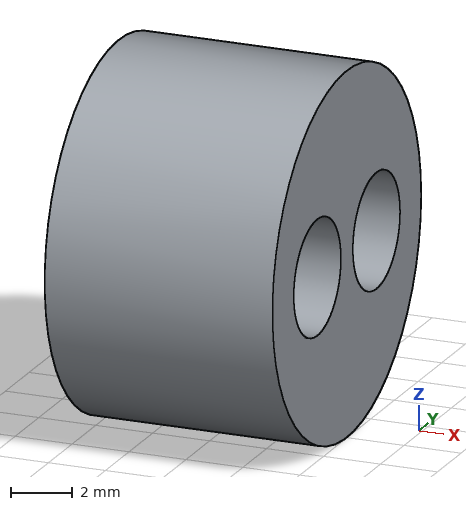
import cadquery as cq

body_diameter = 12.6
body_length = 8.0
hole_diameter = 4.0
hole_spacing = 5.0

body = cq.Workplane("YZ").circle(body_diameter / 2).extrude(body_length)

hole_centres = [(-hole_spacing / 2, 0), (hole_spacing / 2, 0)]
holes = (
    cq.Workplane("YZ")
    .pushPoints(hole_centres)
    .circle(hole_diameter / 2)
    .extrude(body_length)
)

result = body.cut(holes)